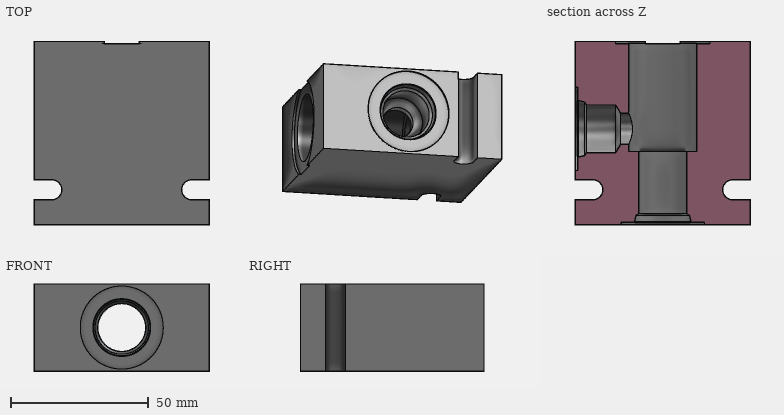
import cadquery as cq
import math

length_y = 66.55
width_x = 63.5
height_z = width_x / 2

slot_width = 7.2
slot_depth = 10.0
slot_from_front = 12.7
slot_center_y = slot_from_front - length_y / 2

spotface_diameter = 30.15
spotface_depth = 0.85
mouth_diameter = 20.95
lip_diameter = 20.4
lip_depth = 0.25
seat_diameter = 19.35
seat_depth = 2.5
bore_diameter = 17.3
drill_point_angle = 118.0
lead_in_depth = 3.2

side_port_y = 1.5
side_bore_depth = 14.65
passage_diameter = 11.2

rear_break_width = 12.6
rear_spotface_radius = math.hypot(rear_break_width / 2, height_z / 2)
rear_spotface_depth = 0.85
cavity_diameter = 24.6
cavity_end_y = -6.65


def turned(profile):
    """Solid of revolution about Y from (radius, depth) points."""
    outline = [(0, profile[0][1])] + profile + [(0, profile[-1][1])]
    return cq.Workplane("XY").polyline(outline).close().revolve(360, (0, 0), (0, 1))


def port_profile():
    """Spotface, chamfered lip and tapered seat leading down to the start of the bore."""
    return [
        (spotface_diameter / 2, 0),
        (spotface_diameter / 2, spotface_depth),
        (mouth_diameter / 2, spotface_depth),
        (lip_diameter / 2, spotface_depth + lip_depth),
        (seat_diameter / 2, spotface_depth + seat_depth),
        (bore_diameter / 2, spotface_depth + lead_in_depth),
    ]


def main_bore():
    """Front port continued as a bore through the whole block."""
    profile = port_profile() + [(bore_diameter / 2, length_y)]
    return turned(profile).translate((0, -length_y / 2, 0))


def side_bore():
    """Left port ending in a drill point that opens into the passage."""
    radius_drop = (bore_diameter - passage_diameter) / 2
    point_length = radius_drop / math.tan(math.radians(drill_point_angle / 2))
    profile = port_profile() + [
        (bore_diameter / 2, side_bore_depth),
        (passage_diameter / 2, side_bore_depth + point_length),
        (passage_diameter / 2, width_x / 2),
    ]
    along_x = turned(profile).rotate((0, 0, 0), (0, 0, 1), -90)
    return along_x.translate((-width_x / 2, side_port_y, 0))


def rear_cavity():
    """Rear spotface and the wider cavity that meets the main bore."""
    floor_y = length_y / 2 - rear_spotface_depth
    profile = [
        (rear_spotface_radius, length_y / 2),
        (rear_spotface_radius, floor_y),
        (cavity_diameter / 2, floor_y),
        (cavity_diameter / 2, cavity_end_y),
    ]
    return turned(profile)


def side_slot(side):
    """Round-ended slot open to the left (side = -1) or right (side = 1)."""
    slot_length = 2 * slot_depth
    return (
        cq.Workplane("XY")
        .center(side * width_x / 2, slot_center_y)
        .slot2D(slot_length, slot_width)
        .extrude(height_z, both=True)
    )


result = cq.Workplane("XY").box(width_x, length_y, height_z)
for side in (-1, 1):
    result = result.cut(side_slot(side))
result = result.cut(main_bore())
result = result.cut(rear_cavity())
result = result.cut(side_bore())